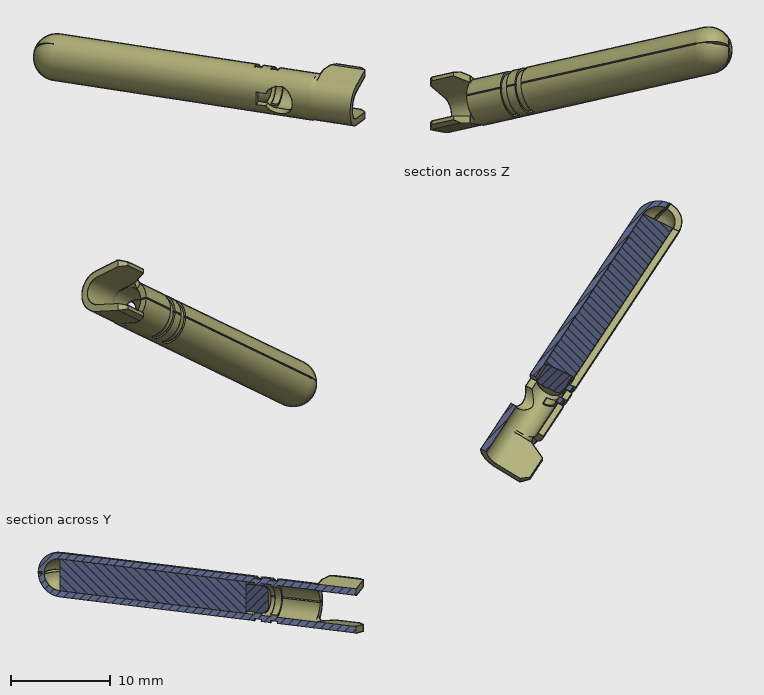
import cadquery as cq
import math


total_length = 34.35
outer_radius = 2.37
wall = 0.7
bore_radius = outer_radius - wall
nose_base_x = outer_radius
tube_end_x = 29.9

petal_count = 3
petal_slit_half_width = 0.13
petal_slit_overrun = 0.1

back_slit_width = 0.15
band_start_x = 23.35
band_width = 0.72
band_pitch = 1.75
band_count = 2
band_inset = 0.2
band_outer_radius = outer_radius - band_inset
band_inner_radius = bore_radius - band_inset

window_x = 26.7
window_radius = 1.5
notch_start_x = 24.33
notch_height = 1.37

head_start_x = 30.25
head_radius = 2.25
head_wall = 0.72
head_inner_radius = head_radius - head_wall
head_center_y = head_radius - outer_radius
wing_angle = math.radians(11)
wing_peak_y = 2.2
wing_tip_y = 2.95
wing_tip_outer_z = 2.55
wing_root_y = 1.2
wing_front_x = 31.1
wing_rear_x = 33.67
neck_root_y = 1.65

stopper_end_x = 24.88
stopper_start_x = 22.47
stopper_radius = band_inner_radius
stopper_edge_radius = 0.6


def x_cylinder(radius, start_x, end_x):
    return cq.Workplane("YZ", origin=(start_x, 0, 0)).circle(radius).extrude(end_x - start_x)


def x_ring(outer, inner, start_x, end_x):
    return x_cylinder(outer, start_x, end_x).cut(x_cylinder(inner, start_x, end_x))


def block(start_x, end_x, start_y, end_y, height):
    """Box centred on Z = 0."""
    size_x = end_x - start_x
    size_y = end_y - start_y
    return cq.Workplane("XY").box(size_x, size_y, height).translate(
        (start_x + size_x / 2, start_y + size_y / 2, 0)
    )


def half_space(start_x, end_x, side):
    """Block on the +Y (side = 1) or -Y (side = -1) side of the axis, wider than the tube."""
    reach = 2 * outer_radius
    return block(start_x, end_x, min(0, side * reach), max(0, side * reach), 2 * reach)


def make_nose():
    """Hollow half-sphere divided into petals that stay joined at its base."""
    arc_share = math.sqrt(0.5)
    nose = (
        cq.Workplane("XZ", origin=(nose_base_x, 0, 0))
        .moveTo(0, outer_radius)
        .threePointArc((-outer_radius * arc_share, outer_radius * arc_share), (-outer_radius, 0))
        .lineTo(-bore_radius, 0)
        .threePointArc((-bore_radius * arc_share, bore_radius * arc_share), (0, bore_radius))
        .close()
        .revolve(360, (0, 0, 0), (1, 0, 0))
    )
    middle_y = (outer_radius - petal_slit_overrun) / 2
    slit = (
        cq.Workplane("YZ")
        .moveTo(-petal_slit_overrun, 0)
        .threePointArc((middle_y, petal_slit_half_width), (outer_radius, 0))
        .threePointArc((middle_y, -petal_slit_half_width), (-petal_slit_overrun, 0))
        .close()
        .extrude(nose_base_x)
    )
    for i in range(petal_count):
        nose = nose.cut(slit.rotate((0, 0, 0), (1, 0, 0), i * 360 / petal_count))
    return nose


def make_front_shell():
    """Half tube on the -Y side, with the window and its notch."""
    shell = x_ring(outer_radius, bore_radius, nose_base_x, tube_end_x)
    shell = shell.intersect(half_space(nose_base_x, tube_end_x, -1))
    window = (
        cq.Workplane("XZ", origin=(window_x, 0, 0)).circle(window_radius).extrude(outer_radius)
    )
    notch = block(notch_start_x, window_x, -outer_radius, 0, notch_height)
    return shell.cut(window).cut(notch)


def make_back_shell():
    """Half tube on the +Y side, slit lengthwise and bridged by the bands."""
    shell = x_ring(outer_radius, bore_radius, nose_base_x, tube_end_x)
    shell = shell.intersect(half_space(nose_base_x, tube_end_x, 1))
    shell = shell.cut(block(nose_base_x, tube_end_x, 0, outer_radius, back_slit_width))
    for i in range(band_count):
        start_x = band_start_x + i * band_pitch
        end_x = start_x + band_width
        back = half_space(start_x, end_x, 1)
        band = x_ring(band_outer_radius, band_inner_radius, start_x, end_x).intersect(back)
        shell = shell.cut(back).union(band)
    return shell


def wing_face_z(y, radius):
    """Height of the wing plane that is tangent to the head arc of the given radius."""
    return radius / math.cos(wing_angle) + (y - head_center_y) * math.tan(wing_angle)


def tangent_point(radius):
    """Point (Y, Z) where a head arc runs into its upper wing plane."""
    return (head_center_y - radius * math.sin(wing_angle), radius * math.cos(wing_angle))


def make_head():
    """U-shaped channel whose arms flare into bevelled wings, trimmed to its side outline."""
    outer_y, outer_z = tangent_point(head_radius)
    inner_y, inner_z = tangent_point(head_inner_radius)
    peak_z = wing_face_z(wing_peak_y, head_radius)
    tip_inner_z = wing_face_z(wing_tip_y, head_inner_radius)
    channel = (
        cq.Workplane("YZ", origin=(head_start_x, 0, 0))
        .moveTo(wing_tip_y, wing_tip_outer_z)
        .lineTo(wing_peak_y, peak_z)
        .lineTo(outer_y, outer_z)
        .threePointArc((head_center_y - head_radius, 0), (outer_y, -outer_z))
        .lineTo(wing_peak_y, -peak_z)
        .lineTo(wing_tip_y, -wing_tip_outer_z)
        .lineTo(wing_tip_y, -tip_inner_z)
        .lineTo(inner_y, -inner_z)
        .threePointArc((head_center_y - head_inner_radius, 0), (inner_y, inner_z))
        .lineTo(wing_tip_y, tip_inner_z)
        .close()
        .extrude(total_length - head_start_x)
    )
    side_outline = (
        cq.Workplane("XY")
        .polyline(
            [
                (head_start_x, -outer_radius),
                (head_start_x, wing_root_y),
                (wing_front_x, wing_tip_y),
                (wing_rear_x, wing_tip_y),
                (total_length, wing_peak_y),
                (total_length, -outer_radius),
            ]
        )
        .close()
        .extrude(outer_radius * 2, both=True)
    )
    return channel.intersect(side_outline)


def arc_point(radius, angle):
    """Point (Y, Z) on a circle about the tube axis, the angle measured from +Y towards +Z."""
    return (radius * math.cos(angle), radius * math.sin(angle))


def mirrored(point):
    return (point[0], -point[1])


def tube_neck_wire():
    """C-shaped section of the tube wall, split where the wing planes of the head begin."""
    end_angle = math.acos(neck_root_y / outer_radius)
    split_angle = math.pi / 2 + wing_angle
    angles = (end_angle, (end_angle + split_angle) / 2, split_angle)
    outer_end, outer_middle, outer_split = [arc_point(outer_radius, a) for a in angles]
    inner_end, inner_middle, inner_split = [arc_point(bore_radius, a) for a in angles]
    return (
        cq.Workplane("YZ", origin=(tube_end_x, 0, 0))
        .moveTo(*outer_end)
        .threePointArc(outer_middle, outer_split)
        .threePointArc((-outer_radius, 0), mirrored(outer_split))
        .threePointArc(mirrored(outer_middle), mirrored(outer_end))
        .lineTo(*mirrored(inner_end))
        .threePointArc(mirrored(inner_middle), mirrored(inner_split))
        .threePointArc((-bore_radius, 0), inner_split)
        .threePointArc(inner_middle, inner_end)
        .close()
        .wire()
        .val()
    )


def head_neck_wire():
    """C-shaped section of the head where its wings are lowest."""
    outer_end = (wing_root_y, wing_face_z(wing_root_y, head_radius))
    inner_end = (wing_root_y, wing_face_z(wing_root_y, head_inner_radius))
    outer_split = tangent_point(head_radius)
    inner_split = tangent_point(head_inner_radius)
    return (
        cq.Workplane("YZ", origin=(head_start_x, 0, 0))
        .moveTo(*outer_end)
        .lineTo(*outer_split)
        .threePointArc((head_center_y - head_radius, 0), mirrored(outer_split))
        .lineTo(*mirrored(outer_end))
        .lineTo(*mirrored(inner_end))
        .lineTo(*mirrored(inner_split))
        .threePointArc((head_center_y - head_inner_radius, 0), inner_split)
        .lineTo(*inner_end)
        .close()
        .wire()
        .val()
    )


def make_neck():
    """Short transition from the tube wall to the wing roots of the head."""
    return cq.Workplane(cq.Solid.makeLoft([tube_neck_wire(), head_neck_wire()], True))


def make_sleeve():
    """Nose, tube, neck and head as one solid; the seam along the tube is kept."""
    sleeve = make_front_shell()
    for section in (make_back_shell(), make_nose(), make_neck(), make_head()):
        sleeve = sleeve.union(section, clean=False)
    return sleeve


def make_pellet():
    """Plain rod that fills the bore between the nose and the stopper."""
    return x_cylinder(bore_radius, nose_base_x, stopper_start_x)


def make_stopper():
    """Short rod held by the first band, with a rounded rear edge."""
    return x_cylinder(stopper_radius, stopper_start_x, stopper_end_x).faces(">X").edges().fillet(
        stopper_edge_radius
    )


sleeve = make_sleeve()
pellet = make_pellet()
stopper = make_stopper()

bodies = [sleeve, pellet, stopper]
result = cq.Compound.makeCompound([body.solids().val() for body in bodies])